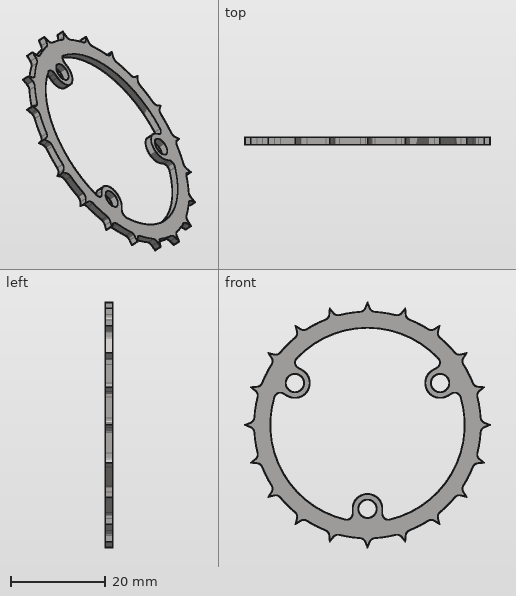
import cadquery as cq
import math

TIP_RADIUS = 26.05
ROOT_RADIUS = 24.1
BORE_RADIUS = 20.6
THICKNESS = 1.6

TOOTH_COUNT = 20
TOOTH_HALF_ANGLE = 22.0
TOOTH_FILLET = 1.25

LUG_COUNT = 3
FIRST_LUG_ANGLE = -90.0
BOLT_CIRCLE_RADIUS = 17.8
LUG_RADIUS = 3.2
BOLT_HOLE_RADIUS = 1.95
LUG_FILLET = 1.25

RIM_MIDDLE_RADIUS = (ROOT_RADIUS + BORE_RADIUS) / 2

PICK_TOLERANCE = 0.005


def extrude_plate(profile):
    """Extrude a profile to the ring thickness, centred on the XZ plane."""
    return profile.extrude(THICKNESS / 2, both=True)


def round_plate(radius, center_x=0):
    """Round plate with its axis along Y."""
    return extrude_plate(cq.Workplane("XZ").center(center_x, 0).circle(radius))


def evenly_turned(body, count, first_angle=0):
    """Copies of a body spread evenly about the ring axis, counter-clockwise from +X towards +Z."""
    angles = [first_angle + index * 360 / count for index in range(count)]
    return [body.rotate((0, 0, 0), (0, -1, 0), angle) for angle in angles]


def edges_at_radius(body, radius):
    """Edges through the thickness that lie at the given distance from the ring axis."""
    return [
        edge
        for edge in body.edges("|Y").vals()
        if abs(math.hypot(edge.Center().x, edge.Center().z) - radius) < PICK_TOLERANCE
    ]


def make_tooth():
    """Pointed tooth along +X with straight flanks."""
    base_half_width = (TIP_RADIUS - RIM_MIDDLE_RADIUS) * math.tan(math.radians(TOOTH_HALF_ANGLE))
    return extrude_plate(
        cq.Workplane("XZ")
        .moveTo(TIP_RADIUS, 0)
        .lineTo(RIM_MIDDLE_RADIUS, base_half_width)
        .lineTo(RIM_MIDDLE_RADIUS, -base_half_width)
        .close()
    )


def make_toothed_ring():
    """Bored ring whose teeth blend into the root circle."""
    disc = round_plate(ROOT_RADIUS)
    for tooth in evenly_turned(make_tooth(), TOOTH_COUNT):
        disc = disc.union(tooth)
    disc = disc.newObject(edges_at_radius(disc, ROOT_RADIUS)).fillet(TOOTH_FILLET)
    return disc.cut(round_plate(BORE_RADIUS))


def make_lug():
    """Round-ended lug on the +X side of the ring, pointing inward from the rim."""
    lug_end = (BOLT_CIRCLE_RADIUS - LUG_RADIUS, 0)
    return extrude_plate(
        cq.Workplane("XZ")
        .moveTo(RIM_MIDDLE_RADIUS, LUG_RADIUS)
        .lineTo(BOLT_CIRCLE_RADIUS, LUG_RADIUS)
        .threePointArc(lug_end, (BOLT_CIRCLE_RADIUS, -LUG_RADIUS))
        .lineTo(RIM_MIDDLE_RADIUS, -LUG_RADIUS)
        .close()
    )


def add_lugs(ring):
    """Join the lugs to the ring and round the corners where they meet the bore."""
    for lug in evenly_turned(make_lug(), LUG_COUNT, FIRST_LUG_ANGLE):
        ring = ring.union(lug)
    corners = [
        edge
        for edge in edges_at_radius(ring, BORE_RADIUS)
        if abs(edge.Center().z) > PICK_TOLERANCE
    ]
    return ring.newObject(corners).fillet(LUG_FILLET)


def cut_bolt_holes(ring):
    """Drill one through hole in each lug."""
    hole = round_plate(BOLT_HOLE_RADIUS, BOLT_CIRCLE_RADIUS)
    for bolt_hole in evenly_turned(hole, LUG_COUNT, FIRST_LUG_ANGLE):
        ring = ring.cut(bolt_hole)
    return ring


result = cut_bolt_holes(add_lugs(make_toothed_ring())).solids()